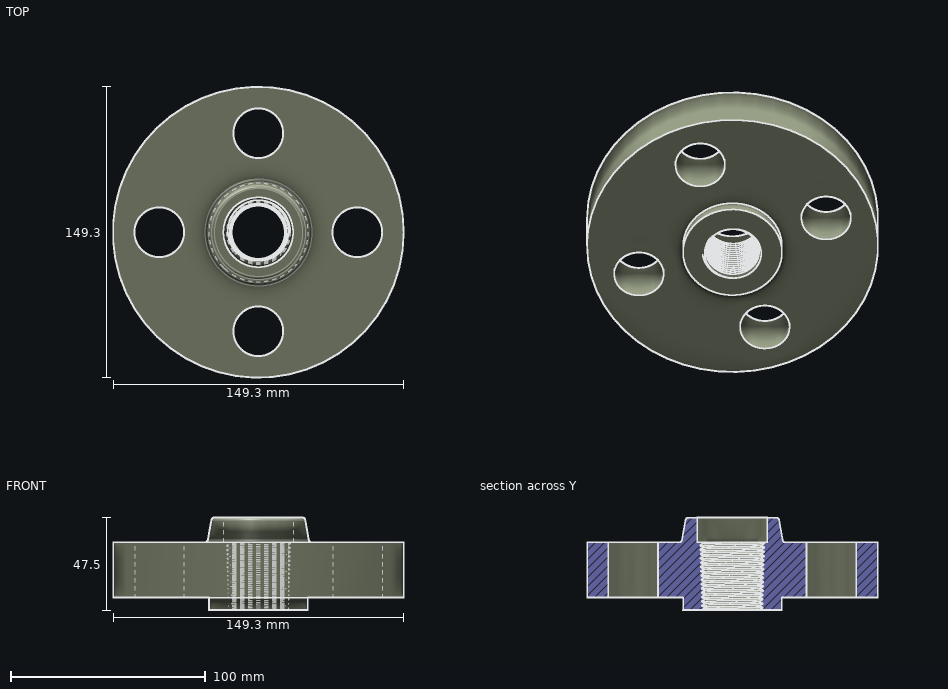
import cadquery as cq
import math

FLANGE_DIAMETER = 149.35
FLANGE_THICKNESS = 28.4
FACE_DIAMETER = 50.8
FACE_HEIGHT = 6.4

HUB_BASE_DIAMETER = 52.32
HUB_HEIGHT = 12.7
HUB_DRAFT = 10.0
HUB_TOP_FILLET = 1.55
HUB_BASE_FILLET = 1.55

BOLT_COUNT = 4
BOLT_CIRCLE_DIAMETER = 101.6
BOLT_HOLE_DIAMETER = 25.4

COUNTERBORE_DIAMETER = 35.8
COUNTERBORE_DEPTH = 12.7

INCH = 25.4
PITCH = INCH / 11.5
TAPER_SLOPE = 1 / 32
THREAD_DEPTH = 0.8 * PITCH
FLANK_ANGLE = math.radians(30)
CREST_RADIUS_AT_FACE = 13.62

FLANGE_TOP = FACE_HEIGHT + FLANGE_THICKNESS
HUB_TOP = FLANGE_TOP + HUB_HEIGHT
COUNTERBORE_FLOOR = HUB_TOP - COUNTERBORE_DEPTH


def make_body():
    face = cq.Workplane("XY").circle(FACE_DIAMETER / 2).extrude(FACE_HEIGHT)
    flange = (
        cq.Workplane("XY", origin=(0, 0, FACE_HEIGHT))
        .circle(FLANGE_DIAMETER / 2)
        .extrude(FLANGE_THICKNESS)
    )
    hub = (
        cq.Workplane("XY", origin=(0, 0, FLANGE_TOP))
        .circle(HUB_BASE_DIAMETER / 2)
        .extrude(HUB_HEIGHT, taper=HUB_DRAFT)
    )
    hub = hub.faces(">Z").edges().fillet(HUB_TOP_FILLET)
    body = face.union(flange).union(hub)
    hub_base_edge = cq.selectors.RadiusNthSelector(0)
    return body.faces("+Z").faces("<Z").edges(hub_base_edge).fillet(HUB_BASE_FILLET)


def make_bolt_holes():
    return (
        cq.Workplane("XY")
        .polarArray(BOLT_CIRCLE_DIAMETER / 2, 0, 360, BOLT_COUNT)
        .circle(BOLT_HOLE_DIAMETER / 2)
        .extrude(HUB_TOP)
    )


def make_counterbore():
    return (
        cq.Workplane("XY", origin=(0, 0, COUNTERBORE_FLOOR))
        .circle(COUNTERBORE_DIAMETER / 2)
        .extrude(COUNTERBORE_DEPTH)
    )


def thread_section(z):
    """(radius, height) corners of one thread pitch whose groove is centred at height z.

    The last corner is the first corner of the next pitch up the taper.
    """
    crest_radius = CREST_RADIUS_AT_FACE + z * TAPER_SLOPE
    root_radius = crest_radius + THREAD_DEPTH
    flank_rise = THREAD_DEPTH * math.tan(FLANK_ANGLE)
    root_half_width = (PITCH / 2 - flank_rise) / 2
    mouth_half_width = root_half_width + flank_rise
    return [
        (crest_radius, z - mouth_half_width),
        (root_radius, z - root_half_width),
        (root_radius, z + root_half_width),
        (crest_radius, z + mouth_half_width),
        (crest_radius + PITCH * TAPER_SLOPE, z - mouth_half_width + PITCH),
    ]


def helix_turn(radius, z):
    """One turn of the tapered right-hand helix starting on the +X side."""
    taper = math.atan(TAPER_SLOPE)
    slant_pitch = PITCH / math.cos(taper)
    start = cq.Vector(0, 0, z)
    return cq.Wire.makeHelix(slant_pitch, slant_pitch, radius, start, angle=math.degrees(taper)).Edges()[0]


def thread_end_faces(section):
    """Close one end of the threaded plug: a helical ramp to the axis and the step it leaves."""
    first_radius, first_z = section[0]
    last_z = section[-1][1]
    axis_line = cq.Edge.makeLine(cq.Vector(0, 0, first_z), cq.Vector(0, 0, last_z))
    ramp = cq.Face.makeRuledSurface(helix_turn(first_radius, first_z), axis_line)
    corners = [(0, first_z)] + section + [(0, last_z)]
    outline = cq.Wire.makePolygon([cq.Vector(r, 0, z) for r, z in corners], close=True)
    step = cq.Face.makeFromWires(outline)
    return [ramp, step]


def make_threaded_plug():
    """Solid screw that cuts the threaded bore, running out past both of its ends.

    Each turn starts on the +X side; the plug is then turned so that a groove
    root meets the counterbore floor on the +Y side.
    """
    turns_below_floor = math.ceil(COUNTERBORE_FLOOR / PITCH) + 1
    turns = turns_below_floor + 2
    start = COUNTERBORE_FLOOR - turns_below_floor * PITCH
    faces = []
    for turn in range(turns):
        section = thread_section(start + turn * PITCH)
        edges = [helix_turn(radius, z) for radius, z in section]
        for lower, upper in zip(edges, edges[1:]):
            faces.append(cq.Face.makeRuledSurface(lower, upper))
    faces += thread_end_faces(thread_section(start))
    faces += thread_end_faces(thread_section(start + turns * PITCH))
    plug = cq.Solid.makeSolid(cq.Shell.makeShell(faces))
    return cq.Workplane(plug).rotate((0, 0, 0), (0, 0, 1), 90)


result = make_body().cut(make_bolt_holes()).cut(make_counterbore()).cut(make_threaded_plug())